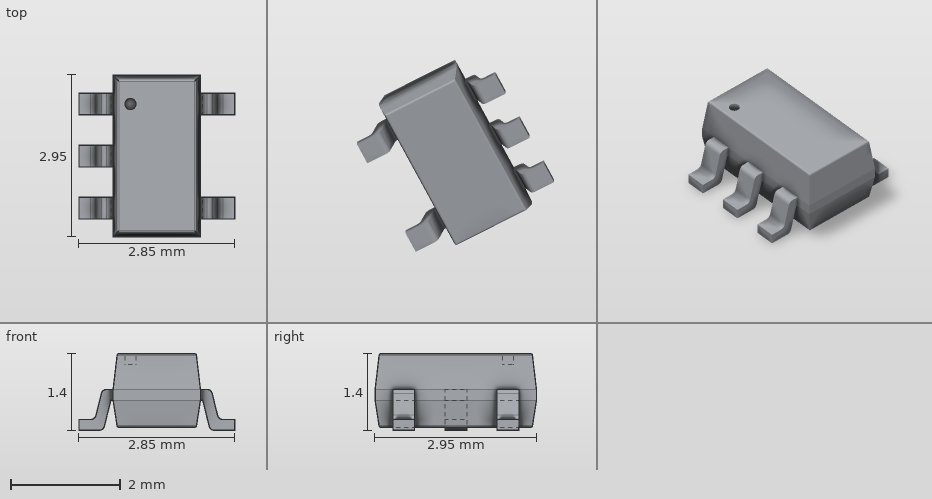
import cadquery as cq
import math

body_length = 2.95
body_width = 1.6
lead_span = 2.85
overall_height = 1.4
standoff = 0.055
draft_inset = 0.077
edge_radius = 0.038

lead_thickness = 0.2
lead_width = 0.4
lead_pitch = 0.95
lead_top = 0.75
bend_radius = 0.1
shoulder_length = 0.195
leg_lean = 14.0

mark_diameter = 0.2
mark_depth = 0.2
mark_edge_distance = 0.32

band_top = lead_top
band_bottom = lead_top - lead_thickness


def make_tapered_half(start_height, height):
    """Block that starts at the band and narrows towards an end face with a rounded rim."""
    taper = math.degrees(math.atan(draft_inset / abs(height)))
    half = (
        cq.Workplane("XY")
        .workplane(offset=start_height)
        .rect(body_width, body_length)
        .extrude(height, taper=taper)
    )
    end_face = ">Z" if height > 0 else "<Z"
    return half.faces(end_face).edges().fillet(edge_radius)


def make_housing():
    """Plastic package with a straight middle band and a blind pin 1 mark."""
    band = (
        cq.Workplane("XY")
        .workplane(offset=band_bottom)
        .rect(body_width, body_length)
        .extrude(lead_thickness)
    )
    upper = make_tapered_half(band_top, overall_height - band_top)
    lower = make_tapered_half(band_bottom, standoff - band_bottom)
    mark = (
        cq.Workplane("XY")
        .workplane(offset=overall_height)
        .center(mark_edge_distance - body_width / 2, lead_pitch)
        .circle(mark_diameter / 2)
        .extrude(-mark_depth)
    )
    return band.union(upper).union(lower).cut(mark)


def make_lead(side, y_center):
    """Gull-wing lead; side is -1 for the -X wall and +1 for the +X wall."""
    lean = math.radians(leg_lean)
    wall = body_width / 2
    tip = lead_span / 2
    leg_run = (lead_top - lead_thickness) * math.tan(lean)
    outer_top = wall + shoulder_length
    outer_foot = outer_top + leg_run
    leg_thickness_x = lead_thickness / math.cos(lean)
    inner_top = outer_top + lead_thickness * math.tan(lean) - leg_thickness_x
    inner_foot = inner_top + leg_run
    profile = [
        (wall, lead_top),
        (outer_top, lead_top),
        (outer_foot, lead_thickness),
        (tip, lead_thickness),
        (tip, 0),
        (inner_foot, 0),
        (inner_top, band_bottom),
        (wall, band_bottom),
    ]
    rounded_corners = [(outer_top, lead_top), (outer_foot, lead_thickness), (inner_foot, 0)]
    lead = (
        cq.Workplane("XZ", origin=(0, y_center, 0))
        .polyline([(side * x, z) for x, z in profile])
        .close()
        .extrude(lead_width / 2, both=True)
    )
    for x, z in rounded_corners:
        corner = cq.selectors.NearestToPointSelector((side * x, y_center, z))
        lead = lead.edges("|Y").edges(corner).fillet(bend_radius)
    return lead


lead_rows = {-1: (-lead_pitch, 0, lead_pitch), 1: (-lead_pitch, lead_pitch)}

housing = make_housing()
leads = [make_lead(side, y_center) for side, row in lead_rows.items() for y_center in row]

result = cq.Compound.makeCompound([housing.val(), *[lead.val() for lead in leads]])